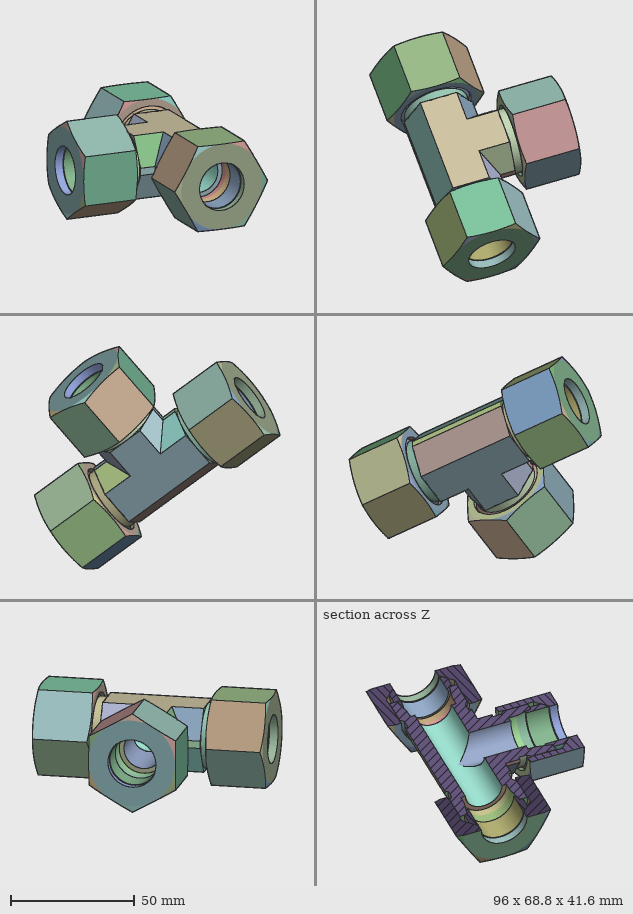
import cadquery as cq
import math


TEE_FLATS = 27.0
TEE_WIDTH = 29.4
ARM_LENGTH = 21.0
THREAD_DIA = 30.0
RELIEF_DIA = TEE_FLATS
THREAD_START = 24.5
PORT_END = 37.0
FLOW_DIA = 16.0
TUBE_DIA = 20.0
TUBE_STOP = 26.5
SEAT_MOUTH_DIA = 22.9
SEAT_HALF_ANGLE = math.radians(12)

NUT_FLATS = 36.0
NUT_START = 24.0
NUT_END = 48.0
NUT_HOLE_DIA = TUBE_DIA
NUT_HOLE_DEPTH = 3.6
NUT_CHAMFER_DIA = NUT_FLATS
NUT_CHAMFER_ANGLE = math.radians(15)

RING_NOSE = 34.1
RING_DIA = 25.9
RING_BACK_GAP = 0.3

NUT_SEAT_END = NUT_END - NUT_HOLE_DEPTH
RING_END = NUT_SEAT_END - RING_BACK_GAP
SEAT_SLOPE = math.tan(SEAT_HALF_ANGLE)

PORTS = [(0, 0), (180, 0), (-90, 90)]


def revolve_about_x(points):
    """Spin a closed (x, radius) outline about the X axis."""
    return cq.Workplane("XY").polyline(points).close().revolve(360, (0, 0, 0), (1, 0, 0))


def hex_bar(flats, start, end):
    """Hexagonal bar along X with flats facing up and down and corners facing +Y and -Y."""
    corner_dia = flats * 2 / math.sqrt(3)
    return cq.Workplane("YZ").workplane(offset=start).polygon(6, corner_dia).extrude(end - start)


def turn(shape, direction):
    """Swing a shape modelled along +X round to a port's direction."""
    return shape.rotate((0, 0, 0), (0, 0, 1), direction)


def make_arm():
    """Hexagonal arm from the centre outward, its side corners blunted by vertical flats."""
    envelope = cq.Workplane("XY").box(2 * ARM_LENGTH, TEE_WIDTH, TEE_FLATS)
    return hex_bar(TEE_FLATS, 0, ARM_LENGTH).intersect(envelope)


def make_stub():
    """Neck and thread envelope at the end of an arm."""
    lead_in = (THREAD_DIA - RELIEF_DIA) / 2
    return revolve_about_x([
        (0, 0),
        (0, RELIEF_DIA / 2),
        (THREAD_START, RELIEF_DIA / 2),
        (THREAD_START + lead_in, THREAD_DIA / 2),
        (PORT_END, THREAD_DIA / 2),
        (PORT_END, 0),
    ])


def make_port_bore():
    """Flow bore, tube socket and sealing cone of one port."""
    seat_depth = (SEAT_MOUTH_DIA - TUBE_DIA) / 2 / SEAT_SLOPE
    return revolve_about_x([
        (0, 0),
        (0, FLOW_DIA / 2),
        (TUBE_STOP, FLOW_DIA / 2),
        (TUBE_STOP, TUBE_DIA / 2),
        (PORT_END - seat_depth, TUBE_DIA / 2),
        (PORT_END, SEAT_MOUTH_DIA / 2),
        (PORT_END, 0),
    ])


def make_tee():
    """Three arms with threaded stubs, joined at the centre and bored through."""
    tee = cq.Workplane("XY")
    for direction, _ in PORTS:
        tee = tee.union(turn(make_arm().union(make_stub()), direction))
    for direction, _ in PORTS:
        tee = tee.cut(turn(make_port_bore(), direction))
    return tee


def make_nut():
    """Hexagonal nut, both ends chamfered, with a 45 degree seat that presses on the ring."""
    face_radius = NUT_CHAMFER_DIA / 2
    peak_radius = face_radius + (NUT_END - NUT_START) / 2 / math.tan(NUT_CHAMFER_ANGLE)
    middle = (NUT_START + NUT_END) / 2
    chamfer_envelope = revolve_about_x([
        (NUT_START, 0),
        (NUT_START, face_radius),
        (middle, peak_radius),
        (NUT_END, face_radius),
        (NUT_END, 0),
    ])
    seat_depth = (THREAD_DIA - NUT_HOLE_DIA) / 2
    bore = revolve_about_x([
        (NUT_START, 0),
        (NUT_START, THREAD_DIA / 2),
        (NUT_SEAT_END - seat_depth, THREAD_DIA / 2),
        (NUT_SEAT_END, NUT_HOLE_DIA / 2),
        (NUT_END, NUT_HOLE_DIA / 2),
        (NUT_END, 0),
    ])
    return hex_bar(NUT_FLATS, NUT_START, NUT_END).intersect(chamfer_envelope).cut(bore)


def make_ring():
    """Ring that fills the sealing cone, rests on the port end and bears on the nut's 45 degree seat."""
    nose_radius = SEAT_MOUTH_DIA / 2 - (PORT_END - RING_NOSE) * SEAT_SLOPE
    back_radius = NUT_HOLE_DIA / 2 + RING_BACK_GAP
    shoulder = RING_DIA / 2 - back_radius
    return revolve_about_x([
        (RING_NOSE, TUBE_DIA / 2),
        (RING_NOSE, nose_radius),
        (PORT_END, SEAT_MOUTH_DIA / 2),
        (PORT_END, RING_DIA / 2),
        (RING_END - shoulder, RING_DIA / 2),
        (RING_END, back_radius),
        (RING_END, TUBE_DIA / 2),
    ])


tee = make_tee()
nuts = []
rings = []
for direction, roll in PORTS:
    nut = make_nut().rotate((0, 0, 0), (1, 0, 0), roll)
    nuts.append(turn(nut, direction).val())
    rings.append(turn(make_ring(), direction).val())

result = cq.Compound.makeCompound([tee.val(), *nuts, *rings])